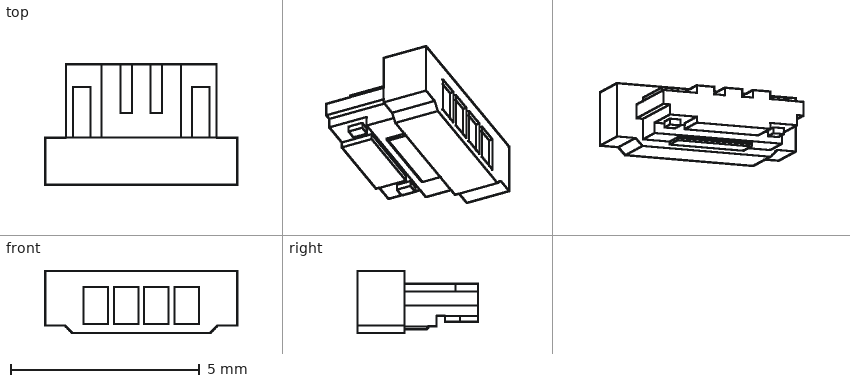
import cadquery as cq

FLANGE_WIDTH = 5.1
FLANGE_DEPTH = 1.25
TOTAL_DEPTH = 3.2
TOTAL_HEIGHT = 1.65
KEEL_HEIGHT = 0.2
KEEL_BOTTOM_WIDTH = 3.65

WINDOW_COUNT = 4
WINDOW_PITCH = 0.8
WINDOW_WIDTH = 0.65
WINDOW_BOTTOM = 0.245
WINDOW_TOP = 1.225
WINDOW_DEPTH = 0.1

PLATE_WIDTH = 4.0
PLATE_BOTTOM = 0.735
PLATE_TOP = 1.11
BASE_WIDTH = 3.63
BASE_BOTTOM = 0.46
HEEL_BOTTOM = 0.18
HEEL_END = 2.1

RIB_TOP = 1.315
CENTER_RIB_WIDTH = 2.1
SLOT_WIDTH = 0.3
SLOT_PITCH = 0.8
SLOT_LENGTH = 1.3
SIDE_RIB_WIDTH = 0.46
SIDE_RIB_SPACING = 3.15
SIDE_RIB_END = 2.6

PAD_BOTTOM = 0.3
PAD_START = 2.32
SIDE_PAD_END = 2.72
SIDE_PAD_WIDTH = 0.3
SIDE_PAD_SPACING = 2.95

BUMP_BOTTOM = 0.1
BUMP_END = 1.88
BUMP_WIDTH = CENTER_RIB_WIDTH
BUMP_BEVEL = 0.05


def block(width, y_range, z_range, x_center=0):
    """Box centered on x_center that spans the given Y and Z ranges."""
    y_start, y_end = y_range
    z_bottom, z_top = z_range
    return cq.Workplane("XY").box(
        width, y_end - y_start, z_top - z_bottom, centered=(True, False, False)
    ).translate((x_center, y_start, z_bottom))


def make_flange():
    keel_half_bottom = KEEL_BOTTOM_WIDTH / 2
    keel_half_top = keel_half_bottom + KEEL_HEIGHT
    flange = block(FLANGE_WIDTH, (0, FLANGE_DEPTH), (KEEL_HEIGHT, TOTAL_HEIGHT))
    keel = (
        cq.Workplane("XZ")
        .moveTo(-keel_half_bottom, 0)
        .lineTo(keel_half_bottom, 0)
        .lineTo(keel_half_top, KEEL_HEIGHT)
        .lineTo(-keel_half_top, KEEL_HEIGHT)
        .close()
        .extrude(-FLANGE_DEPTH)
    )
    flange = flange.union(keel)
    for index in range(WINDOW_COUNT):
        x_center = (index - (WINDOW_COUNT - 1) / 2) * WINDOW_PITCH
        window = block(WINDOW_WIDTH, (0, WINDOW_DEPTH), (WINDOW_BOTTOM, WINDOW_TOP), x_center)
        flange = flange.cut(window)
    return flange


def make_tongue():
    plate = block(PLATE_WIDTH, (FLANGE_DEPTH, TOTAL_DEPTH), (PLATE_BOTTOM, PLATE_TOP))
    base = block(BASE_WIDTH, (FLANGE_DEPTH, TOTAL_DEPTH), (BASE_BOTTOM, PLATE_BOTTOM))
    heel = block(BASE_WIDTH, (FLANGE_DEPTH, HEEL_END), (HEEL_BOTTOM, BASE_BOTTOM))
    return plate.union(base).union(heel)


def make_top_ribs():
    height_range = (PLATE_TOP, RIB_TOP)
    ribs = block(CENTER_RIB_WIDTH, (FLANGE_DEPTH, TOTAL_DEPTH), height_range)
    for side in (-1, 1):
        slot_range = (TOTAL_DEPTH - SLOT_LENGTH, TOTAL_DEPTH)
        slot = block(SLOT_WIDTH, slot_range, height_range, side * SLOT_PITCH / 2)
        side_range = (FLANGE_DEPTH, SIDE_RIB_END)
        side_rib = block(SIDE_RIB_WIDTH, side_range, height_range, side * SIDE_RIB_SPACING / 2)
        ribs = ribs.cut(slot).union(side_rib)
    return ribs


def make_bottom_pads():
    height_range = (PAD_BOTTOM, BASE_BOTTOM)
    pads = block(CENTER_RIB_WIDTH, (PAD_START, TOTAL_DEPTH), height_range)
    for side in (-1, 1):
        side_range = (PAD_START, SIDE_PAD_END)
        pads = pads.union(block(SIDE_PAD_WIDTH, side_range, height_range, side * SIDE_PAD_SPACING / 2))
    return pads


def make_bump():
    bump = block(BUMP_WIDTH, (FLANGE_DEPTH, BUMP_END), (BUMP_BOTTOM, HEEL_BOTTOM))
    return bump.edges(">Y and <Z").chamfer(BUMP_BEVEL)


part = make_flange().union(make_tongue())
part = part.union(make_top_ribs())
part = part.union(make_bottom_pads())
part = part.union(make_bump())
result = part.translate((0, -TOTAL_DEPTH / 2, 0))